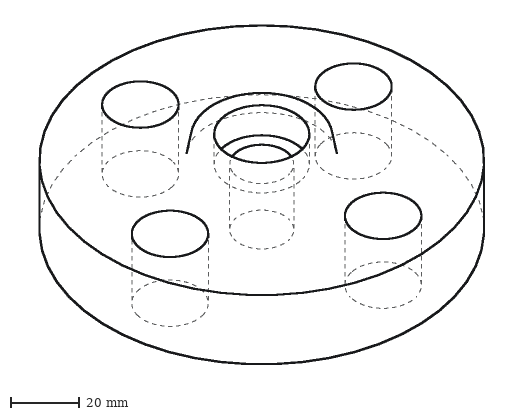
import cadquery as cq
import math

flange_diameter = 130.0
flange_thickness = 25.5

bolt_hole_count = 4
bolt_hole_diameter = 22.4
bolt_circle_diameter = 88.9

overall_height = 35.1
hub_base_diameter = 44.5
hub_taper_degrees = 10.0
hub_fillet = 1.4

socket_diameter = 27.8
socket_depth = 11.0
bore_diameter = 18.7

hub_height = overall_height - flange_thickness
hub_base_radius = hub_base_diameter / 2
hub_top_radius = hub_base_radius - hub_height * math.tan(math.radians(hub_taper_degrees))


def make_body():
    """Flange disc and tapered hub, turned about Z from one half profile."""
    flange_radius = flange_diameter / 2
    return (
        cq.Workplane("XZ")
        .moveTo(0, 0)
        .lineTo(flange_radius, 0)
        .lineTo(flange_radius, flange_thickness)
        .lineTo(hub_base_radius, flange_thickness)
        .lineTo(hub_top_radius, overall_height)
        .lineTo(0, overall_height)
        .close()
        .revolve(360, (0, 0, 0), (0, 1, 0))
    )


def round_hub(body):
    """Round the hub's top rim and its foot on the flange."""
    rim = cq.selectors.RadiusNthSelector(0)
    foot = cq.selectors.RadiusNthSelector(1)
    return body.edges("%CIRCLE").edges(rim + foot).fillet(hub_fillet)


def drill_bolt_holes(body):
    """Through holes evenly spaced on the bolt circle, the first one on +X."""
    holes = (
        cq.Workplane("XY")
        .polarArray(bolt_circle_diameter / 2, 0, 360, bolt_hole_count)
        .circle(bolt_hole_diameter / 2)
        .extrude(flange_thickness)
    )
    return body.cut(holes)


def cut_stepped_bore(body):
    """Socket from the hub's top face, over a smaller bore that runs right through."""
    bore = cq.Workplane("XY").circle(bore_diameter / 2).extrude(overall_height)
    socket = (
        cq.Workplane("XY", origin=(0, 0, overall_height - socket_depth))
        .circle(socket_diameter / 2)
        .extrude(socket_depth)
    )
    return body.cut(bore).cut(socket)


result = cut_stepped_bore(drill_bolt_holes(round_hub(make_body())))